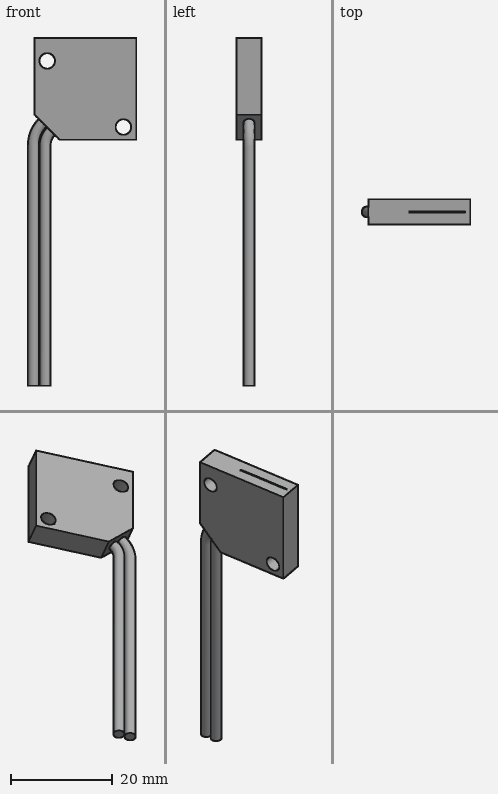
import cadquery as cq
import math

block_side = 20.0
block_thickness = 5.0
corner_cut = 5.0

hole_diameter = 3.0
hole_side_inset = 2.5
upper_hole_top_inset = 4.5
lower_hole_bottom_inset = 2.5

slot_width = 0.25
slot_length = 11.0
slot_right_margin = 1.0
slot_depth = 1.0

total_height = 68.3
total_width = 21.3
cable_count = 2
cable_diameter = 2.2
cable_gap = 0.15
bend_start_z = -1.0
bend_angle = math.radians(45)
cable_embed = 1.0

cable_pitch = cable_diameter + cable_gap
cable_end_z = block_side - total_height
outer_cable_x = block_side - total_width + cable_diameter / 2
pair_axis_x = outer_cable_x + cable_pitch / 2
pair_bend_radius = (corner_cut / 2 - bend_start_z) / math.sin(bend_angle)
bend_centre_x = pair_axis_x + pair_bend_radius


def make_block():
    outline = [
        (corner_cut, 0),
        (block_side, 0),
        (block_side, block_side),
        (0, block_side),
        (0, corner_cut),
    ]
    return cq.Workplane("XZ").polyline(outline).close().extrude(block_thickness / 2, both=True)


def make_mounting_holes():
    centres = [
        (hole_side_inset, block_side - upper_hole_top_inset),
        (block_side - hole_side_inset, lower_hole_bottom_inset),
    ]
    holes = cq.Workplane("XZ").pushPoints(centres).circle(hole_diameter / 2)
    return holes.extrude(block_thickness, both=True)


def make_slot():
    slot_centre_x = block_side - slot_right_margin - slot_length / 2
    slot = cq.Workplane("XY", origin=(slot_centre_x, 0, block_side))
    return slot.slot2D(slot_length, slot_width).extrude(-slot_depth)


def make_cable(cable_x):
    """Straight cable that bends about the shared centre and runs on into the block."""
    bend_radius = bend_centre_x - cable_x

    def point_on_bend(angle):
        return (
            bend_centre_x - bend_radius * math.cos(angle),
            bend_start_z + bend_radius * math.sin(angle),
        )

    bend_end = point_on_bend(bend_angle)
    embedded_end = (
        bend_end[0] + cable_embed * math.sin(bend_angle),
        bend_end[1] + cable_embed * math.cos(bend_angle),
    )
    path = (
        cq.Workplane("XZ")
        .moveTo(cable_x, cable_end_z)
        .lineTo(cable_x, bend_start_z)
        .threePointArc(point_on_bend(bend_angle / 2), bend_end)
        .lineTo(*embedded_end)
    )
    section = cq.Workplane("XY", origin=(cable_x, 0, cable_end_z)).circle(cable_diameter / 2)
    return section.sweep(path)


result = make_block().cut(make_mounting_holes()).cut(make_slot())
for cable_number in range(cable_count):
    result = result.union(make_cable(outer_cable_x + cable_number * cable_pitch))